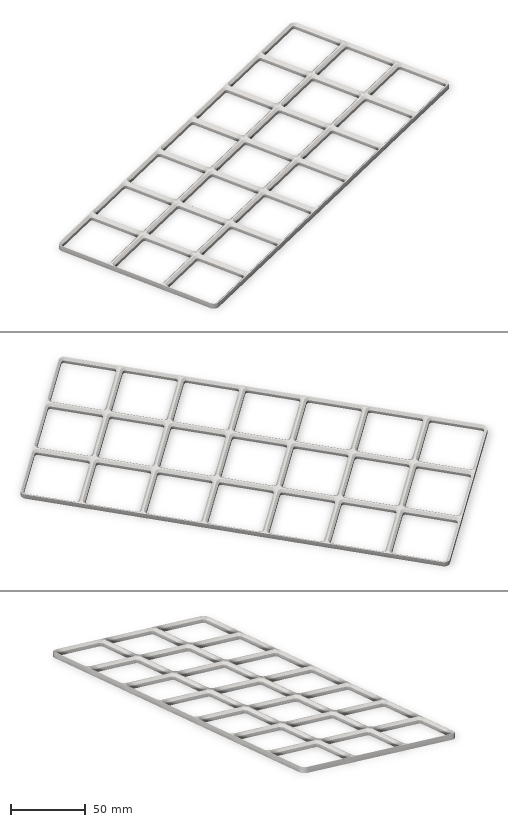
import cadquery as cq

columns = 3
rows = 7
length = 294
pitch = length / rows
width = columns * pitch

straight_wall = 2.5
chamfer = 1.65
land_width = 1.0
height = straight_wall + chamfer

flare_angle = 45
mouth_size = pitch - land_width
throat_size = mouth_size - 2 * chamfer
throat_radius = 1.85

corner_radius = throat_radius + chamfer + land_width / 2


def throat_outline(z):
    """Rounded square of the cell throat, placed at height z."""
    plane = cq.Workplane("XY").workplane(offset=z)
    return plane.sketch().rect(throat_size, throat_size).vertices().fillet(throat_radius).finalize()


def cell_cutter():
    """Space removed for one cell, centred on the origin."""
    throat = throat_outline(0).extrude(straight_wall)
    flare = throat_outline(straight_wall).extrude(chamfer, taper=-flare_angle)
    return throat.union(flare).val()


def plate():
    """Solid plate with rounded corners, resting on Z = 0."""
    return cq.Workplane("XY").rect(width, length).extrude(height).edges("|Z").fillet(corner_radius)


def cells():
    """Cutters for the whole grid."""
    cutter = cell_cutter()
    return cq.Workplane("XY").rarray(pitch, pitch, columns, rows).eachpoint(cutter.moved)


result = plate().cut(cells()).solids()